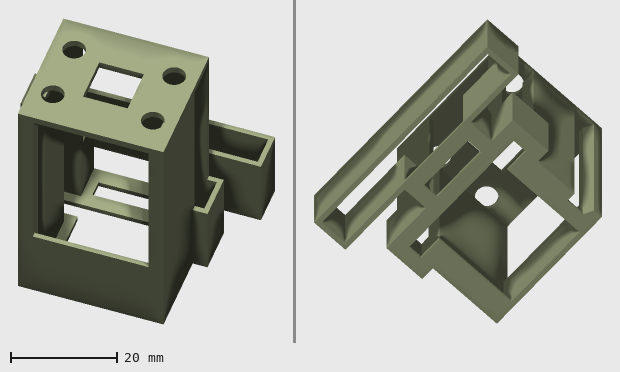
import cadquery as cq

tower_width = 29.1
tower_depth = 25.55
height = 48.5
side_wall = 3.0
front_wall = 1.0
slot_front = 2.0
sheet = 1.0
roof = 1.45
inner_half = tower_width / 2 - side_wall

sleeve_height = 15.05
bar_width = 48.0
bar_depth = 8.0
bar_offset = -1.0
overall_depth = 39.0
bar_front = overall_depth - bar_depth
neck_width = 18.25
neck_offset = -2.55
neck_left = neck_offset - neck_width / 2
neck_right = neck_offset + neck_width / 2
pocket_width = 35.0
pocket_front = 16.4

side_window_front = 17.5
slot_back = 6.95
slot_flare = 1.0
floor_lip = 1.0
floor_hole_half = 9.5
floor_hole_back = 19.45
cross_hole_back = 22.55
neck_hole_left = -8.75
neck_hole_right = 3.6
neck_hole_back = 28.9
bolt_diameter = 4.45
bolt_x = 10.0
bolt_y = (6.85, 18.8)
cable_half = 4.45
cable_front = 8.2
cable_back = 17.35


def block(x_range, y_range, z_range):
    """Axis-aligned box between pairs of limits."""
    size = [high - low for low, high in (x_range, y_range, z_range)]
    corner = (x_range[0], y_range[0], z_range[0])
    return cq.Workplane("XY").box(*size, centered=False).translate(corner)


def tower():
    half = tower_width / 2
    body = block((-half, half), (0, tower_depth), (0, height))
    cavity = block((-inner_half, inner_half), (front_wall, tower_depth - sheet), (sheet, height - roof))
    return body.cut(cavity)


def side_pockets():
    """Solid band across the tower whose ends become the two side pockets."""
    half = pocket_width / 2
    outer = block((-half, half), (pocket_front, tower_depth), (0, sleeve_height))
    middle = block((-inner_half, inner_half), (pocket_front, tower_depth), (0, sleeve_height))
    return outer.cut(middle)


def side_openings():
    """Tall windows through both side walls, continuing into the pockets."""
    half = pocket_width / 2 - sheet
    return block((-half, half), (side_window_front, tower_depth - sheet), (sheet, height - roof))


def rear_bar():
    """Wide rectangular sleeve, open at top and bottom."""
    left = bar_offset - bar_width / 2
    right = bar_offset + bar_width / 2
    outer = block((left, right), (bar_front, overall_depth), (0, sleeve_height))
    bore = block((left + sheet, right - sheet), (bar_front + sheet, overall_depth - sheet), (0, sleeve_height))
    return outer.cut(bore)


def neck():
    return block((neck_left, neck_right), (tower_depth, bar_front + sheet), (0, sleeve_height))


def neck_opening():
    """Channel between the neck walls, with the back wall open above it up to the roof."""
    return block(
        (neck_left + sheet, neck_right - sheet),
        (tower_depth - sheet, bar_front + sheet),
        (sheet, height - roof),
    )


def floor_openings():
    main = block((-floor_hole_half, floor_hole_half), (front_wall, floor_hole_back), (0, sheet))
    neck_hole = block((neck_hole_left, neck_hole_right), (tower_depth, neck_hole_back), (0, sheet))
    half = tower_width / 2
    cross = block((-half, half), (floor_hole_back, cross_hole_back), (0, sheet))
    return main.union(neck_hole).union(cross)


def front_window():
    return block((-inner_half, inner_half), (0, front_wall), (sleeve_height, height - roof))


def flared_slot():
    """Slot in the -X wall with a slanted front cheek, leaving a floor lip at its base."""
    outside = -tower_width / 2
    lip_edge = -inner_half - floor_lip
    cheek = slot_front + slot_flare
    profile = [(outside, slot_front), (lip_edge, cheek), (lip_edge, slot_back), (outside, slot_back)]
    outer = cq.Workplane("XY").polyline(profile).close().extrude(height - roof)
    inner = block((lip_edge, -inner_half), (cheek, slot_back), (sheet, height - roof))
    return outer.union(inner)


def roof_openings():
    bolts = (
        cq.Workplane("XY", origin=(0, 0, height - roof))
        .pushPoints([(x, y) for x in (-bolt_x, bolt_x) for y in bolt_y])
        .circle(bolt_diameter / 2)
        .extrude(roof)
    )
    return bolts.union(block((-cable_half, cable_half), (cable_front, cable_back), (height - roof, height)))


result = tower().union(side_pockets()).union(neck()).union(rear_bar())
openings = (
    side_openings(),
    neck_opening(),
    floor_openings(),
    front_window(),
    flared_slot(),
    roof_openings(),
)
for opening in openings:
    result = result.cut(opening)